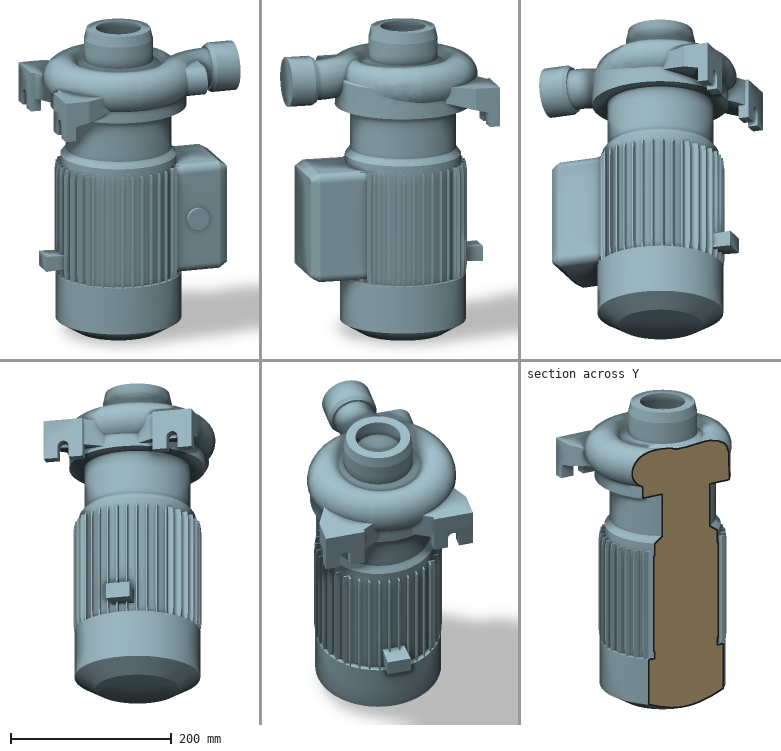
import cadquery as cq
import math


inlet_top = 62.5
inlet_chamfer_base = 49.5
inlet_base = 22.0
casing_rim_top = 2.5
casing_chamfer_base = 0.5
casing_bottom = -36.5
neck_bottom = -92.0
collar_top = -100.0
fins_top = -110.5
fins_bottom = -253.0
cover_chamfer_top = -313.0
motor_bottom = -328.5

inlet_top_radius = 40.0
inlet_radius = 43.0
inlet_bore_radius = 28.2
inlet_bore_depth = 20.0
hub_radius = 55.0
hub_slope = 0.5
casing_radius = 85.0
casing_rim_radius = 84.0
casing_chamfer = 2.0
neck_radius = 66.2
collar_radius = 72.5
cover_radius = 78.5
cover_bottom_radius = 52.5

tube_radius = 25.0
volute_max_x = 97.37
volute_path_radius = 69.0
volute_center_x = volute_max_x - tube_radius - volute_path_radius
volute_inner_radius = volute_path_radius - tube_radius
volute_exit_angle = 65.0
taper_start_angle = 180.0
taper_end_angle = 68.0
taper_end_half_width = 15.0
taper_end_half_height = 20.0
taper_sections = 5
outlet_end = 150.0
outlet_collar_length = 30.0
outlet_collar_radius = 31.0
outlet_chamfer_length = 5.0
outlet_chamfer_radius = 28.0

block_min_x = 20.0
block_max_x = 68.0
block_min_y = 55.0
block_max_y = 95.0
block_half_height = 18.0

foot_outer_x = 95.0
foot_inner_x = 45.0
foot_front_y = -100.0
foot_height = 50.0
foot_plate_thickness = 13.0
foot_outer_corner_y = -69.0
foot_inner_corner_y = -95.5
foot_outer_angle = 63.5
foot_inner_angle = 30.0
foot_root_y = -32.0
foot_root_x = 20.0
foot_wall_end_x = -30.0
foot_web_inner_depth = 33.2
foot_web_front_depth = 35.0
foot_web_root_depth = 18.5
slot_center_x = 70.0
slot_width = 14.0
slot_arc_center_z = -35.0

fin_sides = 4
fins_per_side = 10
fin_pitch = 360.0 / (fin_sides * fins_per_side)
fin_thickness = 1.6
fin_radius = 79.7
fin_embed = 1.0
fin_root_radius = collar_radius - fin_embed
fin_end_inset = 1.3
fin_end_taper_length = 10.0

box_width = 95.2
box_inner_y = 50.0
box_outer_y = 129.0
box_top = fins_top
box_bottom = -249.7
box_edge_radius = 10.5
box_chamfer_length = 10.5
box_chamfer_inset = 6.5
gland_radius = 14.0
gland_center_y = 88.0
gland_length = 5.0

support_width = 30.0
support_height = 19.5
support_center_z = -231.9
support_front_y = -99.2
support_taper = 2.5


def make_shaft_body():
    """Motor, neck, casing disc, conical hub and inlet as one turned solid."""
    hub_edge_z = inlet_base - hub_slope * (hub_radius - inlet_radius)
    profile = [
        (0, motor_bottom),
        (cover_bottom_radius, motor_bottom),
        (cover_radius, cover_chamfer_top),
        (cover_radius, fins_bottom),
        (collar_radius, fins_bottom),
        (collar_radius, collar_top),
        (neck_radius, neck_bottom),
        (neck_radius, casing_bottom),
        (casing_radius, casing_bottom),
        (casing_rim_radius, casing_chamfer_base),
        (casing_rim_radius - casing_chamfer, casing_rim_top),
        (hub_radius, casing_rim_top),
        (hub_radius, hub_edge_z),
        (inlet_radius, inlet_base),
        (inlet_radius, inlet_chamfer_base),
        (inlet_top_radius, inlet_top),
        (0, inlet_top),
    ]
    return cq.Workplane("XZ").polyline(profile).close().revolve(360, (0, 0), (0, 1))


def make_inlet_bore():
    return (
        cq.Workplane("XY")
        .workplane(offset=inlet_top - inlet_bore_depth)
        .circle(inlet_bore_radius)
        .extrude(inlet_bore_depth)
    )


def volute_point(angle, radius):
    """Point on the mid-plane at the given polar position about the volute center."""
    turn = math.radians(angle)
    return (volute_center_x + radius * math.cos(turn), radius * math.sin(turn))


def make_volute_tube():
    """Constant tube round the casing, bending back to leave along +Y."""
    exit_turn = math.radians(volute_exit_angle)
    exit_x = volute_center_x + volute_path_radius * math.cos(exit_turn)
    bend_radius = exit_x / (1 - math.cos(exit_turn))
    bend_x, bend_y = volute_point(volute_exit_angle, volute_path_radius + bend_radius)
    half_bend = math.radians(180 + volute_exit_angle / 2)
    bend_middle = (
        bend_x + bend_radius * math.cos(half_bend),
        bend_y + bend_radius * math.sin(half_bend),
    )
    start = volute_point(-180, volute_path_radius)
    path = (
        cq.Workplane("XY")
        .moveTo(*start)
        .threePointArc(volute_point(-90, volute_path_radius), volute_point(0, volute_path_radius))
        .threePointArc(
            volute_point(volute_exit_angle / 2, volute_path_radius),
            volute_point(volute_exit_angle, volute_path_radius),
        )
        .threePointArc(bend_middle, (0, bend_y))
        .lineTo(0, outlet_end - outlet_collar_length)
    )
    return cq.Workplane("XZ", origin=(*start, 0)).circle(tube_radius).sweep(path)


def make_volute_taper():
    """Narrowing start of the volute, keeping the same inner radius as the tube."""
    sections = []
    for index in range(taper_sections):
        fraction = index / (taper_sections - 1)
        angle = taper_start_angle + fraction * (taper_end_angle - taper_start_angle)
        half_width = tube_radius + fraction * (taper_end_half_width - tube_radius)
        half_height = tube_radius + fraction * (taper_end_half_height - tube_radius)
        turn = math.radians(angle)
        section_plane = cq.Plane(
            origin=(*volute_point(angle, volute_inner_radius + half_width), 0),
            xDir=(0, 0, -1),
            normal=(math.sin(turn), -math.cos(turn), 0),
        )
        sections.append(cq.Workplane(section_plane).ellipse(half_height, half_width).wires().val())
    return cq.Workplane(cq.Solid.makeLoft(sections))


def make_outlet_collar():
    collar_start = outlet_end - outlet_collar_length
    profile = [
        (0, collar_start - outlet_chamfer_length),
        (outlet_chamfer_radius, collar_start - outlet_chamfer_length),
        (outlet_collar_radius, collar_start),
        (outlet_collar_radius, outlet_end),
        (0, outlet_end),
    ]
    return cq.Workplane("XY").polyline(profile).close().revolve(360, (0, 0), (0, 1))


def make_outlet_block():
    """Block with a fully rounded outer side, bridging volute and outlet pipe."""
    round_center_x = block_max_x - block_half_height
    return (
        cq.Workplane("XZ", origin=(0, block_max_y, 0))
        .moveTo(block_min_x, -block_half_height)
        .lineTo(round_center_x, -block_half_height)
        .threePointArc((block_max_x, 0), (round_center_x, block_half_height))
        .lineTo(block_min_x, block_half_height)
        .close()
        .extrude(block_max_y - block_min_y)
    )


def make_foot():
    """Foot on the +X side: a slotted plate with a web running into the casing."""
    outer_run = (foot_root_y - foot_outer_corner_y) / math.tan(math.radians(foot_outer_angle))
    inner_slope = math.tan(math.radians(foot_inner_angle))
    inner_root_y = foot_inner_corner_y + (foot_inner_x - foot_root_x) * inner_slope
    wall_end_y = foot_inner_corner_y + (foot_inner_x - foot_wall_end_x) * inner_slope
    outline = [
        (foot_inner_x, foot_front_y),
        (foot_outer_x, foot_front_y),
        (foot_outer_x, foot_outer_corner_y),
        (foot_outer_x - outer_run, foot_root_y),
        (foot_root_x, foot_root_y),
        (foot_root_x, inner_root_y),
        (foot_inner_x, foot_inner_corner_y),
    ]
    plan = cq.Workplane("XY").polyline(outline).close().extrude(-foot_height)

    plate_back_y = foot_front_y + foot_plate_thickness
    inner_wall = [
        (foot_inner_x, foot_inner_corner_y, 0),
        (foot_wall_end_x, wall_end_y, 0),
        (foot_wall_end_x, wall_end_y, -foot_web_inner_depth),
        (foot_inner_x, foot_inner_corner_y, -foot_web_inner_depth),
    ]
    outer_wall = [
        (foot_outer_x, foot_front_y, 0),
        (foot_outer_x, foot_root_y, 0),
        (foot_outer_x, foot_root_y, -foot_web_root_depth),
        (foot_outer_x, foot_front_y, -foot_web_front_depth),
    ]
    wall_wires = []
    for wall in (inner_wall, outer_wall):
        corners = [cq.Vector(*corner) for corner in wall]
        wall_wires.append(cq.Wire.makePolygon(corners, close=True))
    web = cq.Workplane(cq.Solid.makeLoft(wall_wires, ruled=True)).intersect(plan)

    plate = (
        cq.Workplane("XZ", origin=(0, plate_back_y, 0))
        .moveTo(foot_inner_x, 0)
        .lineTo(foot_outer_x, 0)
        .lineTo(foot_outer_x, -foot_height)
        .lineTo(foot_inner_x, -foot_height)
        .close()
        .extrude(foot_plate_thickness)
    )

    half_slot = slot_width / 2
    slot = (
        cq.Workplane("XZ", origin=(0, plate_back_y, 0))
        .moveTo(slot_center_x - half_slot, -foot_height)
        .lineTo(slot_center_x - half_slot, slot_arc_center_z)
        .threePointArc(
            (slot_center_x, slot_arc_center_z + half_slot),
            (slot_center_x + half_slot, slot_arc_center_z),
        )
        .lineTo(slot_center_x + half_slot, -foot_height)
        .close()
        .extrude(foot_plate_thickness)
    )
    return web.union(plate).cut(slot)


def make_fin(offset):
    """Fin parallel to X at the given Y offset, with a flat tip tapered at both ends."""
    reach = math.sqrt(fin_radius**2 - (abs(offset) + fin_thickness / 2) ** 2)
    root = math.sqrt(fin_root_radius**2 - offset**2)
    profile = [
        (root, fins_bottom),
        (reach - fin_end_inset, fins_bottom),
        (reach, fins_bottom + fin_end_taper_length),
        (reach, fins_top - fin_end_taper_length),
        (reach - fin_end_inset, fins_top),
        (root, fins_top),
    ]
    fin_plane = cq.Workplane("XZ", origin=(0, offset, 0))
    return fin_plane.polyline(profile).close().extrude(fin_thickness / 2, both=True)


def make_fins():
    """Four groups of parallel fins, their tips evenly spread round the motor."""
    fins = cq.Workplane("XY")
    for index in range(fins_per_side):
        tip_angle = (index - (fins_per_side - 1) / 2) * fin_pitch
        fin = make_fin(fin_radius * math.sin(math.radians(tip_angle)))
        for side in range(fin_sides):
            fins.add(fin.rotate((0, 0, 0), (0, 0, 1), side * 360 / fin_sides))
    return fins.combine()


def make_terminal_box():
    height = box_top - box_bottom
    center_z = (box_top + box_bottom) / 2
    box = (
        cq.Workplane("XZ", origin=(0, box_inner_y, center_z))
        .rect(box_width, height)
        .extrude(box_inner_y - box_outer_y)
        .edges("|Y")
        .fillet(box_edge_radius)
        .faces(">Y")
        .chamfer(box_chamfer_length, box_chamfer_inset)
    )
    gland = (
        cq.Workplane("YZ", origin=(0, gland_center_y, center_z))
        .circle(gland_radius)
        .extrude(box_width / 2 + gland_length)
    )
    return box.union(gland)


def make_support():
    """Block on the motor, narrowing slightly from its front face to the core."""
    return (
        cq.Workplane("ZX", origin=(0, support_front_y, support_center_z))
        .rect(support_height, support_width)
        .extrude(abs(support_front_y) - neck_radius, taper=support_taper)
    )


result = make_shaft_body()
result = result.union(make_volute_tube())
result = result.union(make_volute_taper())
result = result.union(make_outlet_collar())
result = result.union(make_outlet_block())
foot = make_foot()
result = result.union(foot)
result = result.union(foot.mirror("YZ"))
result = result.union(make_fins())
result = result.union(make_terminal_box())
result = result.union(make_support())
result = result.cut(make_inlet_bore())